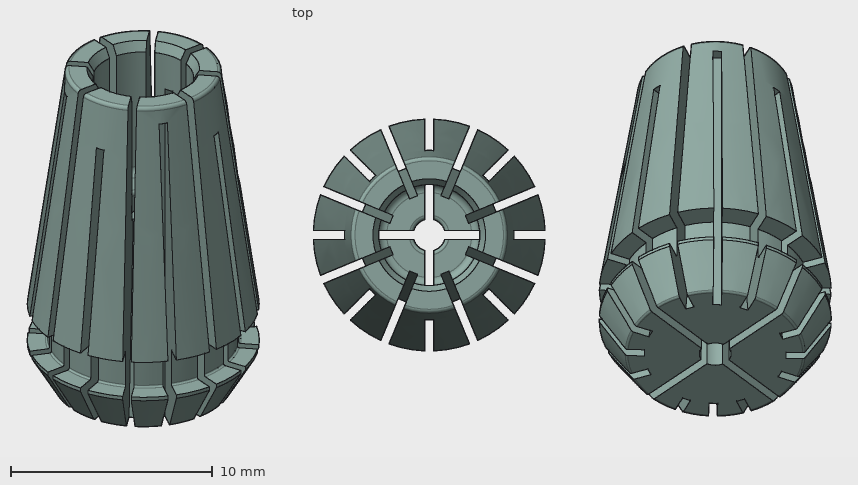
import cadquery as cq
import math


length = 18.0
max_radius = 5.75
taper_angle = 8.0
taper_start = 4.5
top_rounding = 0.2
neck_radius = 4.75
neck_rounding = 0.1
flange_height = 2.5
flange_rim = 0.2
flange_angle = 30.0
bottom_rounding = 0.15

clamp_radius = 0.79
clamp_rounding = 0.2
bore_radius = 2.5
bore_corner = 0.4
mouth_angle = 30.0
mouth_depth = 0.5

slot_width = 0.43
through_slot_top = 15.5
blind_slot_top = 17.1
blind_slot_floor_radius = 3.5
top_slot_floor_radius = 3.5
top_slot_end_radius = 2.02
margin = 1.0

taper_slope = math.tan(math.radians(taper_angle))
top_radius = max_radius - (length - taper_start) * taper_slope
flange_cone_height = flange_height - flange_rim
flange_bottom_radius = max_radius - flange_cone_height * math.tan(math.radians(flange_angle))
mouth_radius = bore_radius + mouth_depth * math.tan(math.radians(mouth_angle))

shoulder_height = (top_slot_floor_radius - top_slot_end_radius) / taper_slope


tolerance = 1e-4


def circle_edge(body, radius, height):
    """Circular edge of the body with the given radius and height."""
    return body.edges("%CIRCLE").filter(
        lambda edge: abs(edge.radius() - radius) < tolerance
        and abs(edge.Center().z - height) < tolerance
    )


def make_body():
    """Revolved collet without slots."""
    body = (
        cq.Workplane("XZ")
        .moveTo(clamp_radius, 0)
        .lineTo(flange_bottom_radius, 0)
        .lineTo(max_radius, flange_cone_height)
        .lineTo(max_radius, flange_height)
        .lineTo(neck_radius, flange_height)
        .lineTo(neck_radius, taper_start)
        .lineTo(max_radius, taper_start)
        .lineTo(top_radius, length)
        .lineTo(mouth_radius, length)
        .lineTo(bore_radius, length - mouth_depth)
        .lineTo(bore_radius, shoulder_height)
        .lineTo(clamp_radius, shoulder_height)
        .close()
        .revolve(360, (0, 0, 0), (0, 1, 0))
    )
    body = circle_edge(body, flange_bottom_radius, 0).fillet(bottom_rounding)
    body = circle_edge(body, neck_radius, flange_height).fillet(neck_rounding)
    body = circle_edge(body, top_radius, length).fillet(top_rounding)
    body = circle_edge(body, bore_radius, shoulder_height).fillet(bore_corner)
    return circle_edge(body, clamp_radius, shoulder_height).fillet(clamp_rounding)


def slot_cutter(outline, angle):
    """Slot of standard width from a radius-height outline, turned about the axis."""
    return (
        cq.Workplane("XZ")
        .polyline(outline)
        .close()
        .extrude(slot_width / 2, both=True)
        .rotate((0, 0, 0), (0, 0, 1), angle)
    )


def box_outline(inner_radius, top):
    """Outline of a slot with a vertical floor, open at the bottom."""
    outer_radius = max_radius + margin
    return [
        (inner_radius, -margin),
        (outer_radius, -margin),
        (outer_radius, top),
        (inner_radius, top),
    ]


def sloped_outline():
    """Outline of a slot open at both ends, its floor parallel to the outer taper."""
    outer_radius = max_radius + margin
    top = length + margin
    return [
        (top_slot_floor_radius + margin * taper_slope, -margin),
        (outer_radius, -margin),
        (outer_radius, top),
        (top_slot_floor_radius - top * taper_slope, top),
    ]


result = make_body()

quarter_count = 4
quarter_turn = 360 / quarter_count
through_outline = box_outline(0, through_slot_top)
blind_outline = box_outline(blind_slot_floor_radius, blind_slot_top)
top_outline = sloped_outline()

for quarter in range(quarter_count):
    through_angle = quarter * quarter_turn
    blind_angle = through_angle + quarter_turn / 2
    result = result.cut(slot_cutter(through_outline, through_angle))
    result = result.cut(slot_cutter(blind_outline, blind_angle))
    for step in (-quarter_turn / 4, quarter_turn / 4):
        result = result.cut(slot_cutter(top_outline, blind_angle + step))